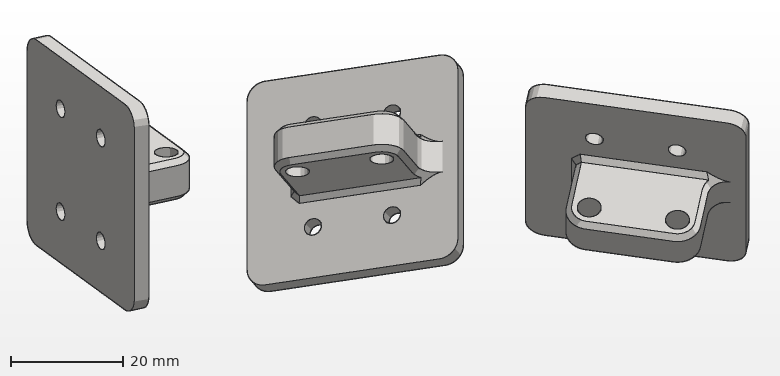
import cadquery as cq
import math

plate_size = 40
plate_thickness = 3.0
plate_corner_radius = 3.5
screw_hole_diameter = 3.2
screw_spacing_x = 15.0
screw_spacing_z = 20

total_depth = 18
lug_thickness = 8
lug_corner_radius = 4.15
lug_center_x = -1.5
lug_hole_spacing = 16
lug_hole_diameter = 4.25
edge_chamfer = 1.0
root_flare = 1.0
root_fillet = 3.5

lug_half_width = lug_hole_spacing / 2 + lug_corner_radius
lug_left = lug_center_x - lug_half_width
lug_right = lug_center_x + lug_half_width
lug_hole_y = total_depth - lug_corner_radius
flare_top_y = plate_thickness + root_flare
flared_thickness = lug_thickness + 2 * root_flare
embed_y = plate_thickness / 2


def make_plate():
    plate = cq.Workplane("XY").box(
        plate_size, plate_thickness, plate_size, centered=(True, False, True)
    )
    plate = plate.edges("|Y").fillet(plate_corner_radius)
    holes = (
        cq.Workplane("XZ")
        .rarray(screw_spacing_x, screw_spacing_z, 2, 2)
        .circle(screw_hole_diameter / 2)
        .extrude(-plate_thickness)
    )
    return plate.cut(holes)


def make_lug_blank():
    """Lug outline with the left root fillet, bevelled deep enough to bevel the flare as well."""
    blank = (
        cq.Workplane("XY")
        .workplane(offset=-flared_thickness / 2)
        .moveTo(lug_left - root_fillet, embed_y)
        .lineTo(lug_left - root_fillet, plate_thickness)
        .radiusArc((lug_left, plate_thickness + root_fillet), -root_fillet)
        .lineTo(lug_left, lug_hole_y)
        .radiusArc((lug_left + lug_corner_radius, total_depth), lug_corner_radius)
        .lineTo(lug_right - lug_corner_radius, total_depth)
        .radiusArc((lug_right, lug_hole_y), lug_corner_radius)
        .lineTo(lug_right, embed_y)
        .close()
        .extrude(flared_thickness)
    )
    bevelled = blank.faces("<Z or >Z").edges(
        cq.selectors.BoxSelector(
            (-plate_size, plate_thickness, -plate_size),
            (plate_size, 2 * total_depth, plate_size),
        )
    )
    return bevelled.chamfer(edge_chamfer + root_flare)


def make_side_profile():
    """Lug thickness profile, widening in both Z directions at the plate."""
    half = lug_thickness / 2
    flared_half = flared_thickness / 2
    return (
        cq.Workplane("YZ")
        .workplane(offset=-plate_size / 2)
        .polyline([
            (embed_y, -flared_half),
            (plate_thickness, -flared_half),
            (flare_top_y, -half),
            (total_depth, -half),
            (total_depth, half),
            (flare_top_y, half),
            (plate_thickness, flared_half),
            (embed_y, flared_half),
        ])
        .close()
        .extrude(plate_size)
    )


def add_right_section(workplane, growth):
    """Right half of the bevelled lug section, with every outer side moved out by growth."""
    half = lug_thickness / 2 + growth
    right = lug_right + growth
    bevel = edge_chamfer + growth * (2 - math.sqrt(2))
    return workplane.polyline([
        (lug_center_x, -half),
        (right - bevel, -half),
        (right, -half + bevel),
        (right, half - bevel),
        (right - bevel, half),
        (lug_center_x, half),
    ]).close()


def make_right_root():
    """Right half of the root, growing at 45 degrees toward the plate."""
    top = add_right_section(cq.Workplane("XZ", origin=(0, flare_top_y, 0)), 0)
    bottom = add_right_section(top.workplane(offset=root_flare), root_flare)
    return bottom.loft(ruled=True, combine=True)


def make_lug_holes():
    return (
        cq.Workplane("XY", origin=(lug_center_x, lug_hole_y, 0))
        .rarray(lug_hole_spacing, 0.4, 2, 1)
        .circle(lug_hole_diameter / 2)
        .extrude(flared_thickness / 2, both=True)
    )


lug = make_lug_blank().intersect(make_side_profile()).union(make_right_root())
result = make_plate().union(lug).cut(make_lug_holes())